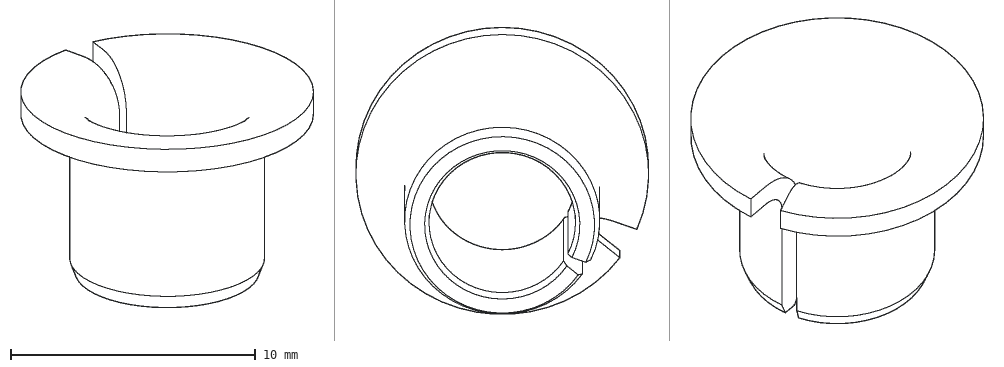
import cadquery as cq
import math

flange_diameter = 11.97
flange_radius = flange_diameter / 2
body_radius = flange_diameter / 3
bore_radius = flange_diameter / 4
height = 8.0
flange_thickness = 1.0

wall_thickness = body_radius - bore_radius
outer_fillet = flange_thickness
mouth_fillet = outer_fillet + wall_thickness
bend_x = body_radius + outer_fillet
bend_z = height - mouth_fillet

chamfer_height = 0.6
chamfer_angle = 20.0
chamfer_width = chamfer_height * math.tan(math.radians(chamfer_angle))

bore_chamfer_height = 0.31
bore_chamfer_angle = 30.0
bore_chamfer_width = bore_chamfer_height * math.tan(math.radians(bore_chamfer_angle))

slit_apex_radius = flange_diameter / 6
slit_half_angle = 10.0
slit_reach = flange_radius + wall_thickness
slit_half_width = (slit_reach - slit_apex_radius) * math.tan(math.radians(slit_half_angle))


def fillet_midpoint(radius):
    """Middle of a quarter arc about the bend centre, facing the axis and up."""
    offset = radius * math.sqrt(0.5)
    return bend_x - offset, bend_z + offset


def make_bushing():
    """Full ring, revolved from its radial section, with the seam turned into the slit."""
    section = (
        cq.Workplane("XZ")
        .moveTo(bore_radius + bore_chamfer_width, 0)
        .lineTo(body_radius - chamfer_width, 0)
        .lineTo(body_radius, chamfer_height)
        .lineTo(body_radius, bend_z)
        .threePointArc(fillet_midpoint(outer_fillet), (bend_x, bend_z + outer_fillet))
        .lineTo(flange_radius, height - flange_thickness)
        .lineTo(flange_radius, height)
        .lineTo(bend_x, height)
        .threePointArc(fillet_midpoint(mouth_fillet), (bore_radius, bend_z))
        .lineTo(bore_radius, bore_chamfer_height)
        .close()
    )
    ring = section.revolve(360, (0, 0, 0), (0, 1, 0))
    return ring.rotate((0, 0, 0), (0, 0, 1), 180)


def make_slit():
    """Wedge that splits the wall and flange over the full height."""
    corners = [
        (-slit_apex_radius, 0),
        (-slit_reach, slit_half_width),
        (-slit_reach, -slit_half_width),
    ]
    return cq.Workplane("XY").polyline(corners).close().extrude(height)


result = make_bushing().cut(make_slit())